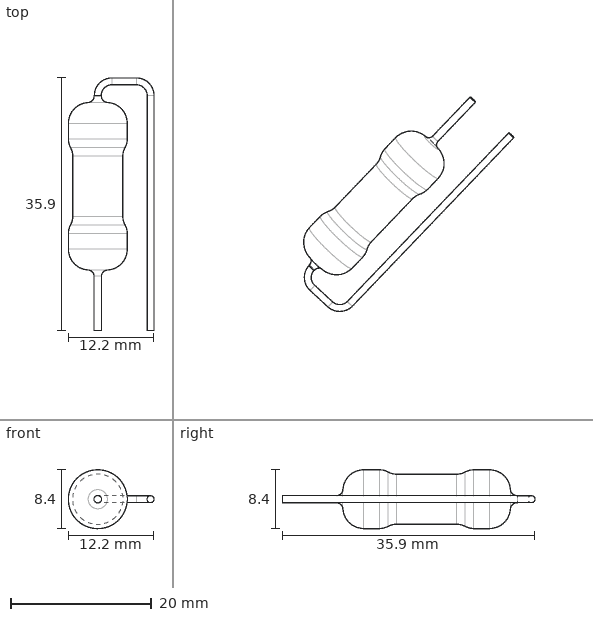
import cadquery as cq
import math

overall_length = 35.9
body_diameter = 8.4
neck_diameter = 7.15
wire_diameter = 1.0
straight_lead_diameter = 1.08
lead_spacing = 7.5
bend_radius = 2.0

body_length = 23.85
body_start = 8.58
dome_radius = 2.98
dome_flat_radius = body_diameter / 2 - dome_radius
collar_height = 0.9
collar_base_radius = 1.35
band_length = 2.25
transition_length = 2.4

body_end = body_start + body_length
body_middle = body_start + body_length / 2
wire_top = overall_length - wire_diameter / 2
bend_start = wire_top - bend_radius


def build_half_body():
    """Revolve the lower half of the body, from the straight lead to mid-neck."""
    lead_radius = straight_lead_diameter / 2
    cap_radius = body_diameter / 2
    neck_radius = neck_diameter / 2
    dome_end = body_start + dome_radius
    band_end = dome_end + band_length
    neck_start = band_end + transition_length
    step_middle = ((cap_radius + neck_radius) / 2, band_end + transition_length / 2)

    collar_offset = collar_base_radius - dome_flat_radius
    collar_base = dome_end - math.sqrt(dome_radius**2 - collar_offset**2)
    collar_tip = body_start - collar_height

    dome_start_angle = math.asin(collar_offset / dome_radius)
    dome_angle = (dome_start_angle + math.pi / 2) / 2
    dome_middle = (
        dome_flat_radius + dome_radius * math.sin(dome_angle),
        dome_end - dome_radius * math.cos(dome_angle),
    )

    return (
        cq.Workplane("XY")
        .moveTo(0, collar_tip)
        .lineTo(lead_radius, collar_tip)
        .threePointArc(
            (
                collar_base_radius - (collar_base_radius - lead_radius) * math.sqrt(0.5),
                collar_tip + (collar_base - collar_tip) * math.sqrt(0.5),
            ),
            (collar_base_radius, collar_base),
        )
        .threePointArc(dome_middle, (cap_radius, dome_end))
        .lineTo(cap_radius, band_end)
        .tangentArcPoint(step_middle, relative=False)
        .tangentArcPoint((neck_radius, neck_start), relative=False)
        .lineTo(neck_radius, body_middle)
        .lineTo(0, body_middle)
        .close()
        .revolve(360, (0, 0, 0), (0, 1, 0))
    )


def lead_cylinder(diameter, start, end):
    """Round rod along the body axis."""
    return cq.Workplane("XZ", origin=(0, start, 0)).circle(diameter / 2).extrude(start - end)


def build_folded_lead():
    """Sweep the lead that leaves the body's far end and turns back beside it."""
    diagonal = bend_radius * math.sqrt(0.5)
    path = (
        cq.Workplane("XY")
        .moveTo(0, body_end)
        .lineTo(0, bend_start)
        .threePointArc((bend_radius - diagonal, bend_start + diagonal), (bend_radius, wire_top))
        .lineTo(lead_spacing - bend_radius, wire_top)
        .threePointArc(
            (lead_spacing - bend_radius + diagonal, bend_start + diagonal),
            (lead_spacing, bend_start),
        )
        .lineTo(lead_spacing, 0)
    )
    profile = cq.Workplane("XZ", origin=(0, body_end, 0)).circle(wire_diameter / 2)
    return profile.sweep(path)


lower_half = build_half_body()
upper_half = lower_half.mirror("XZ", (0, body_middle, 0))
straight_lead = lead_cylinder(straight_lead_diameter, 0, body_start)
lead_stub = lead_cylinder(straight_lead_diameter, body_end, bend_start)

result = lower_half.union(upper_half).union(straight_lead).union(lead_stub).union(build_folded_lead())